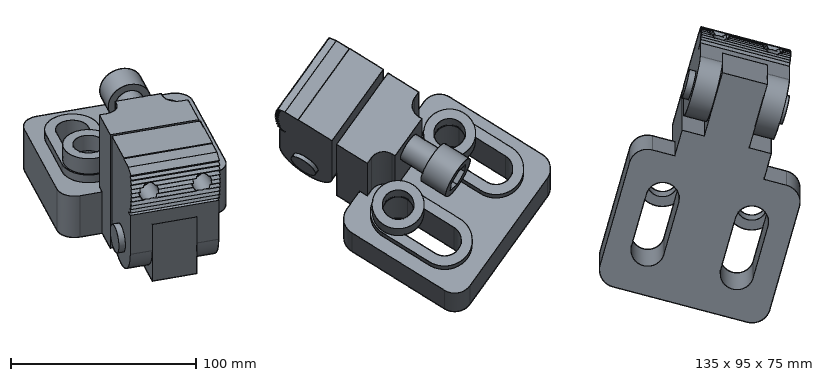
import cadquery as cq
import math

PLATE_LENGTH = 80.0
PLATE_WIDTH = 95.0
PLATE_HEIGHT = 27.0
PLATE_CORNER_RADIUS = 10.0

SLOT_SPACING = 50.0
SLOT_START_X = 25.0
SLOT_END_X = 55.1
SLOT_RADIUS = 9.0
RIM_RADIUS = 15.0
RIM_HEIGHT = 5.0
SEAT_RADIUS = 14.0
SEAT_HEIGHT = 10.0
SEAT_HOLE_RADIUS = 8.5

BODY_WIDTH = 50.0
POST_START_X = 65.0
POST_END_X = 95.0
POST_HEIGHT = 74.0
NOTCH_LENGTH = 10.0
NOTCH_RADIUS = 8.0
POST_NOSE_WIDTH = 26.0

TONGUE_WIDTH = 25.1
TONGUE_HEIGHT = 37.0
JAW_GAP = 3.0
JAW_END_X = 132.0
JAW_HEIGHT = 75.0
PIVOT_Z = 20.0
PIN_RADIUS = 8.0
PIN_END_Y = 27.4
PIN_START_Y = -28.6

SCREW_Z = 59.9
FACE_START_X = 120.0
FACE_SHOULDER_X = 128.5
FACE_HALF_HEIGHT = 14.6
TOOTH_COUNT = 10
TOOTH_PITCH_ANGLE = 3.7
TOOTH_TIP_RADIUS = 42.5
TOOTH_DEPTH = 2.0
TIP_X = 135.0
FACE_HOLE_SPACING = 30.0
FACE_HOLE_RADIUS = 5.4

SCREW_HEAD_START_X = 33.0
SCREW_HEAD_LENGTH = 16.0
SCREW_HEAD_RADIUS = 12.0
SCREW_SHANK_RADIUS = 8.0
SOCKET_ACROSS_FLATS = 14.0
SOCKET_DEPTH = 8.0
SCREW_TURN = 36.3

JAW_START_X = POST_END_X + JAW_GAP
JAW_RADIUS = (JAW_END_X - JAW_START_X) / 2
PIVOT_X = JAW_START_X + JAW_RADIUS


def block(start_x, end_x, width, height):
    """Box standing on Z = 0 and centred on Y = 0."""
    bar = cq.Workplane().box(end_x - start_x, width, height, centered=(False, True, False))
    return bar.translate((start_x, 0, 0))


def cylinder_along_x(start_x, end_x, radius, y, z):
    """Round bar parallel to X."""
    return cq.Workplane("YZ", origin=(start_x, y, z)).circle(radius).extrude(end_x - start_x)


def cylinder_along_z(start_z, end_z, radius, x, y):
    """Round bar parallel to Z."""
    return cq.Workplane(origin=(x, y, start_z)).circle(radius).extrude(end_z - start_z)


def oval(radius, height, y):
    """Upright bar of slot shape, standing on Z = 0 along one clamping slot."""
    slot_middle_x = (SLOT_START_X + SLOT_END_X) / 2
    total_length = SLOT_END_X - SLOT_START_X + 2 * radius
    return cq.Workplane(origin=(slot_middle_x, y, 0)).slot2D(total_length, 2 * radius).extrude(height)


def make_pin():
    """Hinge pin, parallel to Y."""
    end_face = cq.Workplane("XZ", origin=(PIVOT_X, PIN_END_Y, PIVOT_Z)).circle(PIN_RADIUS)
    return end_face.extrude(PIN_END_Y - PIN_START_Y)


def make_post():
    """Post whose two -X corners are cut away by notches with one rounded corner each."""
    post = block(POST_START_X, POST_END_X, BODY_WIDTH, POST_HEIGHT)
    notch_width = (BODY_WIDTH - POST_NOSE_WIDTH) / 2
    for side in (-1, 1):
        notch = (
            block(POST_START_X, POST_START_X + NOTCH_LENGTH, notch_width, POST_HEIGHT)
            .translate((0, side * (POST_NOSE_WIDTH + notch_width) / 2, 0))
            .edges("|Z and >X")
            .edges(">Y" if side < 0 else "<Y")
            .fillet(NOTCH_RADIUS)
        )
        post = post.cut(notch)
    return post


def make_base():
    """Plate, rims, seats, post and tongue in one piece, bored for the screw and the pin."""
    base = block(0, PLATE_LENGTH, PLATE_WIDTH, PLATE_HEIGHT).edges("|Z").fillet(PLATE_CORNER_RADIUS)
    base = base.union(make_post())
    base = base.union(block(POST_END_X, JAW_END_X, TONGUE_WIDTH, TONGUE_HEIGHT))
    rim_top = PLATE_HEIGHT + RIM_HEIGHT
    seat_top = rim_top + SEAT_HEIGHT
    for slot_y in (-SLOT_SPACING / 2, SLOT_SPACING / 2):
        base = base.union(oval(RIM_RADIUS, rim_top, slot_y))
        base = base.cut(oval(SLOT_RADIUS, rim_top, slot_y))
        seat = cylinder_along_z(rim_top, seat_top, SEAT_RADIUS, SLOT_END_X, slot_y)
        seat_hole = cylinder_along_z(rim_top, seat_top, SEAT_HOLE_RADIUS, SLOT_END_X, slot_y)
        base = base.union(seat.cut(seat_hole))
    screw_hole = cylinder_along_x(POST_START_X, POST_END_X, SCREW_SHANK_RADIUS, 0, SCREW_Z)
    return base.cut(screw_hole).cut(make_pin())


def toothed_edge():
    """Points (X, Z) down the toothed face, from the top tooth tip to the bottom one."""
    arc_centre_x = TIP_X - TOOTH_TIP_RADIUS * math.cos(math.radians(TOOTH_PITCH_ANGLE / 2))
    last_step = 2 * TOOTH_COUNT - 2
    points = []
    for step in range(last_step + 1):
        angle = math.radians((last_step / 2 - step) * TOOTH_PITCH_ANGLE / 2)
        radius = TOOTH_TIP_RADIUS - TOOTH_DEPTH * (step % 2)
        points.append((arc_centre_x + radius * math.cos(angle), SCREW_Z + radius * math.sin(angle)))
    return points


def make_jaw():
    """Forked jaw with a toothed face, hinged on the pin."""
    face_top = SCREW_Z + FACE_HALF_HEIGHT
    face_bottom = SCREW_Z - FACE_HALF_HEIGHT
    jaw = (
        cq.Workplane("XZ")
        .moveTo(JAW_START_X, PIVOT_Z)
        .lineTo(JAW_START_X, JAW_HEIGHT)
        .lineTo(FACE_START_X, JAW_HEIGHT)
        .lineTo(FACE_START_X, face_top)
        .lineTo(FACE_SHOULDER_X, face_top)
    )
    for x, z in toothed_edge():
        jaw = jaw.lineTo(x, z)
    jaw = (
        jaw.lineTo(FACE_SHOULDER_X, face_bottom)
        .lineTo(JAW_END_X, face_bottom)
        .lineTo(JAW_END_X, PIVOT_Z)
        .threePointArc((PIVOT_X, PIVOT_Z - JAW_RADIUS), (JAW_START_X, PIVOT_Z))
        .close()
        .extrude(BODY_WIDTH / 2, both=True)
    )
    jaw = jaw.cut(block(JAW_START_X, JAW_END_X, TONGUE_WIDTH, TONGUE_HEIGHT))
    for hole_y in (-FACE_HOLE_SPACING / 2, FACE_HOLE_SPACING / 2):
        jaw = jaw.cut(cylinder_along_x(FACE_START_X, TIP_X, FACE_HOLE_RADIUS, hole_y, SCREW_Z))
    return jaw.cut(make_pin())


def make_screw():
    """Socket-head screw along X, its shank ending flush with the +X face of the post."""
    head_end_x = SCREW_HEAD_START_X + SCREW_HEAD_LENGTH
    head = cylinder_along_x(SCREW_HEAD_START_X, head_end_x, SCREW_HEAD_RADIUS, 0, SCREW_Z)
    shank = cylinder_along_x(head_end_x, POST_END_X, SCREW_SHANK_RADIUS, 0, SCREW_Z)
    socket_across_corners = SOCKET_ACROSS_FLATS / math.cos(math.pi / 6)
    socket = (
        cq.Workplane("YZ", origin=(SCREW_HEAD_START_X, 0, SCREW_Z))
        .polygon(6, socket_across_corners)
        .extrude(SOCKET_DEPTH)
    )
    screw = head.union(shank).cut(socket)
    return screw.rotate((0, 0, SCREW_Z), (1, 0, SCREW_Z), SCREW_TURN)


base = make_base()
jaw = make_jaw()
pin = make_pin()
screw = make_screw()

result = cq.Compound.makeCompound([base.solids().val(), jaw.solids().val(), pin.val(), screw.solids().val()])